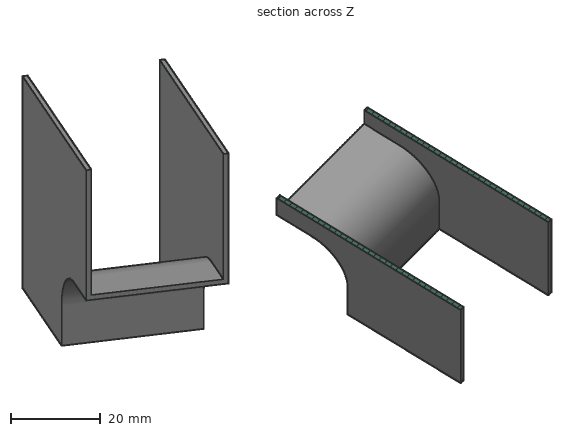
import cadquery as cq

side = 51.9
depth = 32.9
thickness = 1.2
straight = 10.0
cut_radius = 10.0

bend_center = side - straight
cut_edge = bend_center - cut_radius
wall_radius = cut_radius + thickness
wall_edge = bend_center - wall_radius
diagonal = 0.5 ** 0.5


def arc_middle(radius):
    """Midpoint of the inside-corner arc, facing the outer corner of the elbow."""
    return (bend_center - radius * diagonal, side - bend_center + radius * diagonal)


def elbow_profile():
    """Square with its lower right corner cut away around the bend."""
    return (
        cq.Workplane("XZ")
        .lineTo(cut_edge, 0)
        .lineTo(cut_edge, straight)
        .threePointArc(arc_middle(cut_radius), (bend_center, side - cut_edge))
        .lineTo(side, side - cut_edge)
        .lineTo(side, side)
        .lineTo(0, side)
        .close()
    )


def cheek(front_y):
    """Flat side plate whose front face lies at front_y."""
    return elbow_profile().extrude(-thickness).translate((0, front_y, 0))


def inner_wall():
    """Wall following the inside of the bend, joining both cheeks."""
    return (
        cq.Workplane("XZ")
        .moveTo(wall_edge, 0)
        .lineTo(cut_edge, 0)
        .lineTo(cut_edge, straight)
        .threePointArc(arc_middle(cut_radius), (bend_center, side - cut_edge))
        .lineTo(side, side - cut_edge)
        .lineTo(side, side - wall_edge)
        .lineTo(bend_center, side - wall_edge)
        .threePointArc(arc_middle(wall_radius), (wall_edge, straight))
        .close()
        .extrude(-depth)
    )


result = inner_wall().union(cheek(0)).union(cheek(depth - thickness))